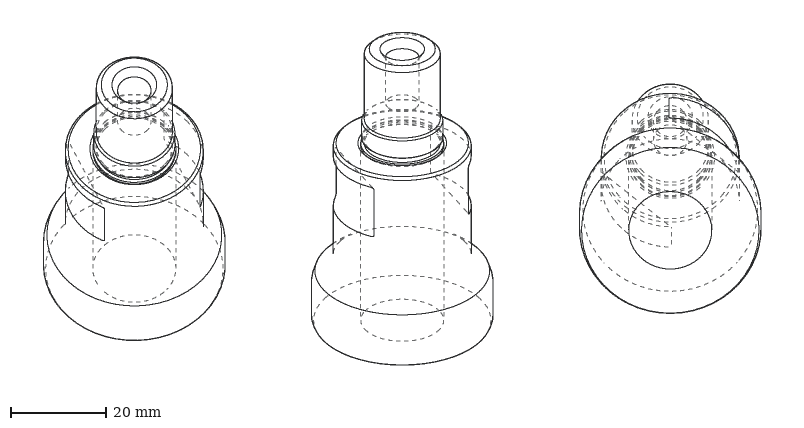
import cadquery as cq
import math

total_height = 66.0
base_radius = 38.15 / 2

bottom_edge_radius = 18.6
bottom_chamfer_top = 0.65
bottom_relief_radius = 18.95
bottom_relief_top = 1.2
base_wall_top = 9.6
shoulder_low_radius = 19.0
shoulder_low_height = 9.95
shoulder_high_radius = 18.8
shoulder_high_height = 10.6
taper_bottom_radius = 18.75
taper_bottom_height = 10.95
taper_top_radius = 36.7 / 2
taper_top_height = 12.1
cone_bottom_radius = 18.0
cone_bottom_height = 12.5

hub_radius = 29.0 / 2
hub_top = 43.1
hub_chamfer = 0.6
round_radius = 1.85
round_top = 16.2
cone_angle = math.radians(50)

flat_distance = 10.9
flat_bottom = 28.0
flat_top = 39.9
flat_corner_radius = 0.5

journal_radius = 8.7
bore_chamfer_radius = 9.3
bore_chamfer_depth = bore_chamfer_radius - journal_radius
journal_top = hub_top

shaft_radius = 16.0 / 2
collar_radius = 17.0 / 2
collar_bottom = 44.1
collar_top = 49.05
collar_chamfer_height = 0.4
shaft_top_chamfer = 1.05

hole_radius = 7.0 / 2
countersink_radius = 4.7
countersink_depth = 2.0
hole_depth = 13.2
drill_tip_depth = hole_radius * math.tan(math.radians(30))


def revolve_profile(profile):
    """Revolve a closed (radius, height) profile in the XZ plane about Z."""
    return profile.close().revolve(360, (0, 0, 0), (0, 1, 0))


def point_on_round(angle):
    """Point on the concave round, at an angle turned from the hub wall."""
    radius = hub_radius + round_radius * (1 - math.cos(angle))
    height = round_top - round_radius * math.sin(angle)
    return radius, height


def make_flat_cutter():
    """Block that cuts the +Y wrench flat, with rounded inner corners."""
    depth = hub_radius - flat_distance
    return (
        cq.Workplane("XY", origin=(0, flat_distance, flat_bottom))
        .box(2 * hub_radius, 2 * depth, flat_top - flat_bottom, centered=(True, False, False))
        .edges("|X and <Y")
        .fillet(flat_corner_radius)
    )


def make_housing():
    outline = (
        cq.Workplane("XZ")
        .moveTo(journal_radius, 0)
        .lineTo(bottom_edge_radius, 0)
        .lineTo(bottom_relief_radius, bottom_chamfer_top)
        .lineTo(base_radius, bottom_relief_top)
        .lineTo(base_radius, base_wall_top)
        .lineTo(shoulder_low_radius, shoulder_low_height)
        .lineTo(shoulder_high_radius, shoulder_high_height)
        .lineTo(taper_bottom_radius, taper_bottom_height)
        .lineTo(taper_top_radius, taper_top_height)
        .lineTo(cone_bottom_radius, cone_bottom_height)
        .lineTo(*point_on_round(cone_angle))
        .threePointArc(point_on_round(cone_angle / 2), point_on_round(0))
        .lineTo(hub_radius, hub_top - hub_chamfer)
        .lineTo(hub_radius - hub_chamfer, hub_top)
        .lineTo(bore_chamfer_radius, hub_top)
        .lineTo(journal_radius, hub_top - bore_chamfer_depth)
    )
    body = revolve_profile(outline)
    for turn in (0, 180):
        body = body.cut(make_flat_cutter().rotate((0, 0, 0), (0, 0, 1), turn))
    return body


def make_shaft():
    hole_bottom = total_height - hole_depth
    outline = (
        cq.Workplane("XZ")
        .moveTo(0, 0)
        .lineTo(journal_radius, 0)
        .lineTo(journal_radius, journal_top)
        .lineTo(shaft_radius, journal_top)
        .lineTo(shaft_radius, collar_bottom)
        .lineTo(collar_radius, collar_bottom + collar_chamfer_height)
        .lineTo(collar_radius, collar_top - collar_chamfer_height)
        .lineTo(shaft_radius, collar_top)
        .lineTo(shaft_radius, total_height - shaft_top_chamfer)
        .lineTo(shaft_radius - shaft_top_chamfer, total_height)
        .lineTo(countersink_radius, total_height)
        .lineTo(hole_radius, total_height - countersink_depth)
        .lineTo(hole_radius, hole_bottom)
        .lineTo(0, hole_bottom - drill_tip_depth)
    )
    return revolve_profile(outline)


housing = make_housing()
shaft = make_shaft()
result = cq.Compound.makeCompound([housing.val(), shaft.val()])